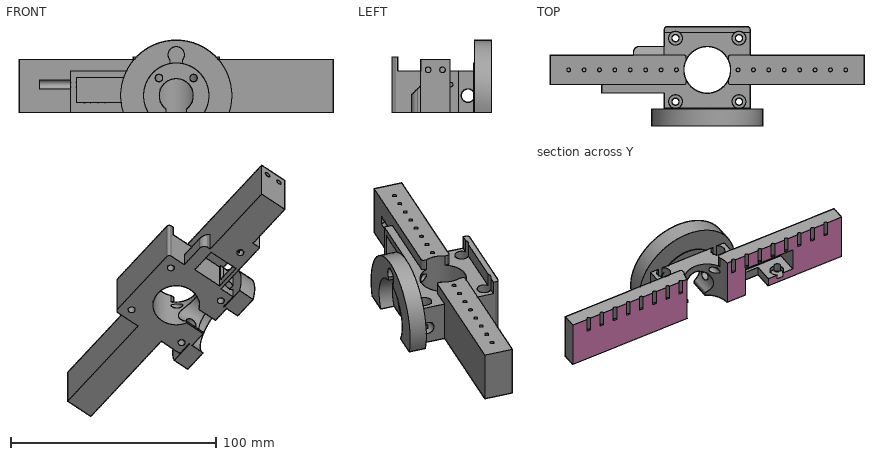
import cadquery as cq
import math

bar_length = 153.0
bar_width = 14.4
bar_height = 25.9
bar_gap_half = 10.3
bar_corner_radius = 1.0
bore_radius = 11.3

block_width = 41.9
block_front = -18.7
block_back = 21.1
block_height = 20.3
flange_thickness = 2.9
flange_height = 27.1
flange_corner_radius = 1.5

mount_offset = 15.5
mount_hole_radius = 1.7
mount_counterbore_radius = 3.4
mount_counterbore_depth = 7.6

ring_radius = 27.1
ring_front = -27.4
ring_back = -19.0
ring_center_z = 8.3
hub_radius = 15.9
hub_recess_depth = 6.9
shaft_radius = 8.3
shaft_slot_half_width = 4.9
shaft_slot_corner_radius = 0.6
key_center_z = 28.2
key_radius = 4.0
key_neck_width = 6.1
key_depth = 2.9
pin_offset_x = 8.4
pin_z = 16.8
pin_radius = 1.8
cross_hole_radius = 3.2
cross_hole_y = -15.9

box_left = -51.4
box_front = -11.3
window_left = -48.7
window_right = -22.8
window_bottom = 4.9
window_top = 17.0
pocket_back = 5.7
chute_left = -34.7
chute_right = -21.9
chute_front = -9.6

cover_left = -36.0
cover_back = 11.5
cover_slope_base_z = 8.7
cover_corner_radius = 2.9

floor_recess_x = -41.5
floor_recess_y = -3.0
floor_recess_radius = 3.4
floor_recess_depth = 2.3
floor_hole_x = -43.3
floor_hole_y = -5.7
floor_hole_radius = 1.7

groove_left = -66.5
groove_radius = 2.1
groove_z = 13.6
wire_radius = 1.0
wire_y = -7.5

row_count = 8
row_pitch = 7.5
row_first = 15.0
row_hole_radius = 0.9
row_hole_depth = 7.6
end_hole_radius = 1.4
end_hole_offset = 3.5
end_hole_z = 20.8
end_hole_depth = 7.6

half_length = bar_length / 2
half_width = bar_width / 2
half_block = block_width / 2


def box(x0, x1, y0, y1, z0, z1):
    """Axis-aligned box between two opposite corners."""
    return cq.Workplane("XY").box(x1 - x0, y1 - y0, z1 - z0, centered=False).translate((x0, y0, z0))


def rod_x(radius, x0, x1, y, z):
    """Cylinder along X."""
    return cq.Workplane("YZ", origin=(x0, y, z)).circle(radius).extrude(x1 - x0)


def rod_y(radius, y0, y1, x, z):
    """Cylinder along Y."""
    return cq.Workplane("XZ", origin=(x, y0, z)).circle(radius).extrude(y0 - y1)


def rod_z(radius, z0, z1, x, y):
    """Cylinder along Z."""
    return cq.Workplane("XY", origin=(x, y, z0)).circle(radius).extrude(z1 - z0)


def arms():
    """Two bar halves with rounded vertical edges at their inner ends."""
    right = box(bar_gap_half, half_length, -half_width, half_width, 0, bar_height)
    right = right.edges("|Z and <X").fillet(bar_corner_radius)
    return right.union(right.mirror("YZ"))


def block():
    """Central block and rear flange with rounded outer corners."""
    base = box(-half_block, half_block, block_front, block_back, 0, block_height)
    flange = box(-half_block, half_block, block_back - flange_thickness, block_back, 0, flange_height)
    return base.union(flange).edges("|Z and >Y").fillet(flange_corner_radius)


def ring():
    """Thick disc with a stepped recess, joined to the block by a thin hub."""
    disc = rod_y(ring_radius, ring_front, ring_back, 0, ring_center_z)
    hub = rod_y(hub_radius, ring_back, block_front, 0, ring_center_z)
    recess = rod_y(hub_radius, ring_front, ring_front + hub_recess_depth, 0, ring_center_z)
    key_back = ring_front + key_depth
    key = rod_y(key_radius, ring_front, key_back, 0, key_center_z)
    half_neck = key_neck_width / 2
    neck = box(-half_neck, half_neck, ring_front, key_back, ring_center_z, key_center_z)
    below = box(-ring_radius, ring_radius, ring_front, block_front, -ring_radius, 0)
    return disc.union(hub).cut(recess).cut(key).cut(neck).cut(below)


def shaft_opening():
    """Shaft bore with a slot through the bottom whose upper corners are rounded."""
    half = shaft_slot_half_width
    corner_z = ring_center_z - math.sqrt(shaft_radius**2 - half**2)
    outline = (
        cq.Workplane("XZ", origin=(0, ring_front, 0))
        .moveTo(-half, 0)
        .lineTo(-half, corner_z)
        .threePointArc((0, ring_center_z + shaft_radius), (half, corner_z))
        .lineTo(half, 0)
        .close()
    )
    return outline.extrude(ring_front).edges("|Y").edges(">Z").fillet(shaft_slot_corner_radius)


def cable_cover():
    """Prism behind the left arm, sloped at 45 degrees, with its free vertical corner rounded."""
    slope_top_z = cover_slope_base_z + cover_back
    profile = [(0, 0), (cover_back, 0), (cover_back, cover_slope_base_z), (0, slope_top_z)]
    cover = cq.Workplane("YZ", origin=(cover_left, 0, 0)).polyline(profile).close()
    cover = cover.extrude(-half_block - cover_left)
    return cover.edges("|Z and >Y and <X").fillet(cover_corner_radius)


def pocket():
    """Window and pocket in the side box, with a chute down through the bottom."""
    window = box(window_left, window_right, box_front, pocket_back, window_bottom, window_top)
    chute = box(chute_left, chute_right, chute_front, pocket_back, 0, window_top)
    return window.union(chute)


def floor_holes():
    """Blind recess and through hole in the pocket floor."""
    recess_bottom = window_bottom - floor_recess_depth
    recess = rod_z(floor_recess_radius, recess_bottom, window_bottom, floor_recess_x, floor_recess_y)
    return recess.union(rod_z(floor_hole_radius, 0, window_bottom, floor_hole_x, floor_hole_y))


def counterbored_hole(x, y, top_z, depth):
    """Vertical through hole with a counterbore open at the top."""
    hole = rod_z(mount_hole_radius, 0, top_z, x, y)
    return hole.union(rod_z(mount_counterbore_radius, top_z - depth, top_z, x, y))


def mount_holes():
    """Four corner holes whose rear counterbores also notch the flange."""
    holes = cq.Workplane("XY")
    depth = mount_counterbore_depth + flange_height - block_height
    for x in (-mount_offset, mount_offset):
        for y in (-mount_offset, mount_offset):
            holes = holes.add(counterbored_hole(x, y, flange_height, depth))
    return holes.combine()


def arm_holes():
    """Blind hole rows along both arms and the pair in the left end."""
    holes = cq.Workplane("XY")
    for i in range(row_count):
        for side in (-1, 1):
            x = side * (row_first + i * row_pitch)
            holes = holes.add(rod_z(row_hole_radius, bar_height - row_hole_depth, bar_height, x, 0))
    for y in (-end_hole_offset, end_hole_offset):
        holes = holes.add(rod_x(end_hole_radius, -half_length, end_hole_depth - half_length, y, end_hole_z))
    return holes.combine()


body = arms().union(block().cut(mount_holes()))
body = body.union(box(box_left, -half_block, box_front, 0, 0, block_height))
body = body.union(cable_cover())
body = body.cut(pocket())
body = body.cut(floor_holes())
body = body.cut(rod_x(groove_radius, groove_left, box_left, -half_width, groove_z))
body = body.cut(rod_x(wire_radius, box_left, window_left, wire_y, groove_z))
body = body.cut(arm_holes())
body = body.cut(rod_z(bore_radius, 0, bar_height, 0, 0))
body = body.cut(rod_x(cross_hole_radius, -half_block, half_block, cross_hole_y, ring_center_z))
body = body.union(ring())

body = body.cut(shaft_opening())
for pin_x in (-pin_offset_x, pin_offset_x):
    body = body.cut(rod_y(pin_radius, ring_front, 0, pin_x, pin_z))

result = body